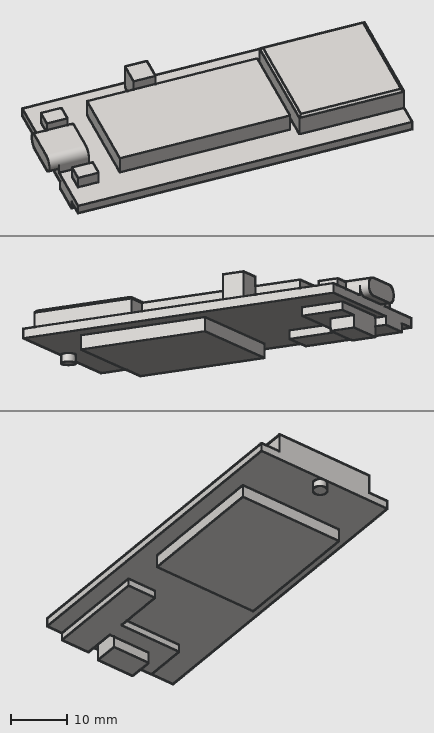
import cadquery as cq

board_width = 28.0
overall_length = 65.45
usb_overhang = 1.8
board_length = overall_length - usb_overhang
board_thickness = 1.75
board_left = -board_width / 2
board_bottom = -board_thickness

display_size = 19.95
display_height = 4.3
display_bevel = 0.45

chip_width = 16.4
chip_length = 32.4
chip_height = 3.35
chip_display_gap = 1.1

tower_width = 4.3
tower_length = 4.2
tower_height = 5.0
tower_edge_gap = 1.2
tower_front = 19.1

button_width = 3.0
button_length = 3.9
button_height = 2.2
button_front = 1.75
button_spacing = 15.65

usb_width = 8.95
usb_height = 3.35
usb_back = 5.7

rear_block_width = 21.4
rear_block_length = 25.45
rear_block_depth = 2.6
rear_block_inset = 9.95
connector_depth = 1.6
side_connector_width = 5.9
side_connector_length = 19.75
front_connector_width = 12.8
front_connector_length = 8.25
plug_width = 7.7
plug_length = 4.8
plug_depth = 3.85
connector_setback = 1.6
pin_diameter = 2.6


def block_above(center_x, front_y, width, length, height):
    """Block standing on the top face of the board."""
    return cq.Workplane("XY").box(width, length, height, centered=(True, False, False)).translate(
        (center_x, front_y, 0)
    )


def block_below(center_x, front_y, width, length, depth):
    """Block hanging from the bottom face of the board."""
    return block_above(center_x, front_y, width, length, depth).translate((0, 0, board_bottom - depth))


def make_display():
    front_y = board_length - display_size
    display = block_above(0, front_y, display_size, display_size, display_height)
    return display.faces(">Z").edges().chamfer(display_bevel)


def make_chip():
    front_y = board_length - display_size - chip_display_gap - chip_length
    return block_above(0, front_y, chip_width, chip_length, chip_height)


def make_usb_socket():
    shell = (
        cq.Workplane("XZ", origin=(0, -usb_overhang, usb_height / 2))
        .slot2D(usb_width, usb_height)
        .extrude(-(usb_back + usb_overhang))
    )
    base = block_above(0, 0, usb_width, usb_back, usb_height / 2)
    return shell.union(base)


def make_underside():
    rear_front_y = board_length - rear_block_inset - rear_block_length
    rear_block = block_below(0, rear_front_y, rear_block_width, rear_block_length, rear_block_depth)

    side_x = (rear_block_width - side_connector_width) / 2
    side_connector = block_below(side_x, 0, side_connector_width, side_connector_length, connector_depth)

    front_x = side_x - (side_connector_width + front_connector_width) / 2
    front_connector = block_below(
        front_x, connector_setback, front_connector_width, front_connector_length, connector_depth
    )
    notch_width = side_x - side_connector_width / 2 - plug_width / 2
    notch_x = (plug_width + notch_width) / 2
    front_connector = front_connector.cut(
        block_below(notch_x, connector_setback, notch_width, plug_length, connector_depth)
    )
    plug = block_below(0, connector_setback, plug_width, plug_length, plug_depth)

    pin = (
        cq.Workplane("XY", origin=(0, board_length - pin_diameter / 2, board_bottom))
        .circle(pin_diameter / 2)
        .extrude(-connector_depth)
    )
    return rear_block.union(side_connector).union(front_connector).union(plug).union(pin)


board = block_below(0, 0, board_width, board_length, board_thickness).translate((0, 0, board_thickness))
tower_x = board_left + tower_edge_gap + tower_width / 2
tower = block_above(tower_x, tower_front, tower_width, tower_length, tower_height)

result = board.union(make_display()).union(make_chip()).union(tower)
for side in (-1, 1):
    button_x = side * button_spacing / 2
    result = result.union(block_above(button_x, button_front, button_width, button_length, button_height))
result = result.union(make_usb_socket()).union(make_underside())